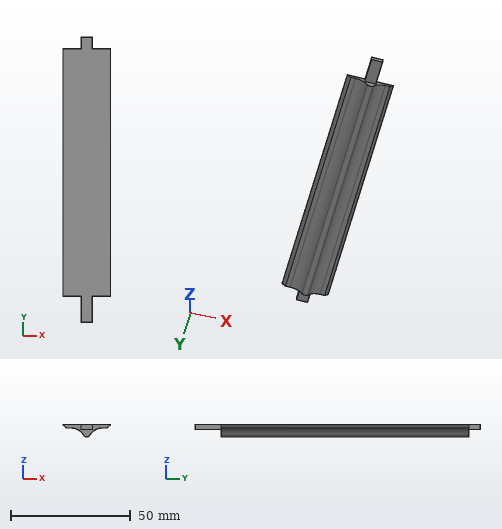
import cadquery as cq
import math

total_length = 119.0
width = 20.0
height = 5.2

flange_thickness = 1.5
flank_radius = 6.0
rib_tip_radius = 1.5

tongue_width = 4.8
tongue_thickness = 2.1
front_tongue_length = 10.8
back_tongue_length = 4.8
body_length = total_length - front_tongue_length - back_tongue_length

tip_center_z = rib_tip_radius - height
flank_center_z = -flange_thickness - flank_radius
center_distance = flank_radius + rib_tip_radius
flank_center_x = math.sqrt(center_distance**2 - (tip_center_z - flank_center_z)**2)
flank_angle = math.atan2(tip_center_z - flank_center_z, -flank_center_x)
flank_mid_angle = (flank_angle + math.pi / 2) / 2


def flank_point(angle, side):
    """Point on the concave flank; side is 1 for +X and -1 for -X."""
    x = flank_center_x + flank_radius * math.cos(angle)
    z = flank_center_z + flank_radius * math.sin(angle)
    return (side * x, z)


def make_body():
    half_width = width / 2
    half_underside = half_width - flange_thickness
    profile = (
        cq.Workplane("XZ")
        .moveTo(-half_width, 0)
        .lineTo(half_width, 0)
        .lineTo(half_underside, -flange_thickness)
        .lineTo(flank_center_x, -flange_thickness)
        .threePointArc(flank_point(flank_mid_angle, 1), flank_point(flank_angle, 1))
        .threePointArc((0, -height), flank_point(flank_angle, -1))
        .threePointArc(flank_point(flank_mid_angle, -1), (-flank_center_x, -flange_thickness))
        .lineTo(-half_underside, -flange_thickness)
        .close()
    )
    return profile.extrude(-body_length).translate((0, front_tongue_length, 0))


def make_tongues():
    return cq.Workplane("XY").box(
        tongue_width, total_length, tongue_thickness, centered=(True, False, False)
    ).translate((0, 0, -tongue_thickness))


result = make_body().union(make_tongues())